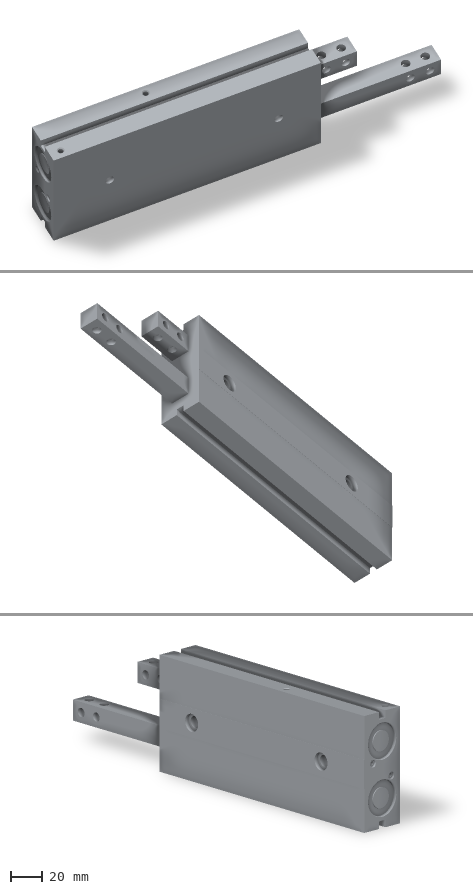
import cadquery as cq

TOTAL_LENGTH = 280.0

BODY_LENGTH = 190.0
BODY_HEIGHT = 78.0
TOTAL_WIDTH = 32.0
STRIP_RISE = 0.15
STRIP_HEIGHT = 19.5
BODY_WIDTH = TOTAL_WIDTH - STRIP_RISE
LEFT_X = -TOTAL_WIDTH / 2
SLOT_WIDTH = 6.0
SLOT_DEPTH = 5.0

AXIS_Z = 19.0

PLUG_DIAMETER = 24.0
PLUG_THICKNESS = 7.0
PLUG_SETBACK = 2.0
PLUG_BOSS_DIAMETER = 14.0
PLUG_BOSS_HEIGHT = 0.8
SEAT_MOUTH_DIAMETER = 25.0

ROD_SIDE = 14.0
LONG_REACH = TOTAL_LENGTH - BODY_LENGTH
SHORT_REACH = 30.0
ROD_LENGTH = LONG_REACH + SHORT_REACH
ROD_HOLE_DIAMETER = 6.2
ROD_HOLE_INSET = 7.8
ROD_HOLE_PITCH = 14.0

ROD_PLACES = [(AXIS_Z, SHORT_REACH), (-AXIS_Z, LONG_REACH)]

MOUNT_DIAMETER = 6.2
MOUNT_STEP_DIAMETER = 7.8
MOUNT_STEP_DEPTH = 11.2
MOUNT_BORE_DIAMETER = 12.0
MOUNT_BORE_DEPTH = 2.8
MOUNT_FIRST_Y = 40.0
MOUNT_PITCH = 120.0

PORT_DIAMETER = 3.5
PORT_MOUTH_DIAMETER = 5.0
PORT_DEPTH = 5.5
PORT_X = 10.0
PORT_PLACES = [(-PORT_X, 78.0), (PORT_X, 7.8)]

SCREW_MOUTH_DIAMETER = 5.0
SCREW_STEP_DIAMETER = 4.2
SCREW_STEP_DEPTH = 1.0
SCREW_HOLE_DIAMETER = 2.6
SCREW_HOLE_DEPTH = 11.2
SCREW_X = 8.0
SCREW_Z = 5.5
SCREW_PLACES = [(-SCREW_X, SCREW_Z), (SCREW_X, -SCREW_Z)]

ALONG_X = cq.Vector(1, 0, 0)
ALONG_Y = cq.Vector(0, 1, 0)
DOWN = cq.Vector(0, 0, -1)


def round_bar(start, direction, diameter, length):
    """Cylinder whose first end is centred on the start point."""
    return cq.Workplane(cq.Solid.makeCylinder(diameter / 2, length, cq.Vector(*start), direction))


def mouth_chamfer(start, direction, mouth_diameter, hole_diameter):
    """45 degree cone that opens the mouth of a hole."""
    depth = (mouth_diameter - hole_diameter) / 2
    return cq.Workplane(cq.Solid.makeCone(
        mouth_diameter / 2, hole_diameter / 2, depth, cq.Vector(*start), direction))


def square_rod_blank(z, reach):
    """Plain square rod on the axis at height z, reaching out of the housing by the given length."""
    middle_y = BODY_LENGTH + reach - ROD_LENGTH / 2
    return cq.Workplane().box(ROD_SIDE, ROD_LENGTH, ROD_SIDE).translate((0, middle_y, z))


def make_block():
    """Housing block with its raised side strip and its top and bottom slots."""
    middle_y = BODY_LENGTH / 2
    block = cq.Workplane().box(BODY_WIDTH, BODY_LENGTH, BODY_HEIGHT).translate((STRIP_RISE / 2, middle_y, 0))
    strip = cq.Workplane().box(TOTAL_WIDTH, BODY_LENGTH, STRIP_HEIGHT).translate((0, middle_y, 0))
    block = block.union(strip)
    slot = cq.Workplane().box(SLOT_WIDTH, BODY_LENGTH, 2 * SLOT_DEPTH)
    for face_z in (-BODY_HEIGHT / 2, BODY_HEIGHT / 2):
        block = block.cut(slot.translate((0, middle_y, face_z)))
    return block


def cut_cylinder_ends(block):
    """Cut the plug seats and the square sockets that hold the rods."""
    for z, reach in ROD_PLACES:
        mouth = (0, 0, z)
        block = block.cut(round_bar(mouth, ALONG_Y, PLUG_DIAMETER, PLUG_SETBACK + PLUG_THICKNESS))
        block = block.cut(mouth_chamfer(mouth, ALONG_Y, SEAT_MOUTH_DIAMETER, PLUG_DIAMETER))
        block = block.cut(square_rod_blank(z, reach))
    return block


def cut_mount_holes(block):
    for y in (MOUNT_FIRST_Y, MOUNT_FIRST_Y + MOUNT_PITCH):
        mouth = (LEFT_X, y, 0)
        block = block.cut(round_bar(mouth, ALONG_X, MOUNT_DIAMETER, TOTAL_WIDTH))
        block = block.cut(round_bar(mouth, ALONG_X, MOUNT_STEP_DIAMETER, MOUNT_STEP_DEPTH))
        block = block.cut(round_bar(mouth, ALONG_X, MOUNT_BORE_DIAMETER, MOUNT_BORE_DEPTH))
    return block


def cut_ports(block):
    for x, y in PORT_PLACES:
        mouth = (x, y, BODY_HEIGHT / 2)
        block = block.cut(round_bar(mouth, DOWN, PORT_DIAMETER, PORT_DEPTH))
        block = block.cut(mouth_chamfer(mouth, DOWN, PORT_MOUTH_DIAMETER, PORT_DIAMETER))
    return block


def cut_screw_holes(block):
    for x, z in SCREW_PLACES:
        mouth = (x, 0, z)
        block = block.cut(round_bar(mouth, ALONG_Y, SCREW_HOLE_DIAMETER, SCREW_HOLE_DEPTH))
        block = block.cut(round_bar(mouth, ALONG_Y, SCREW_STEP_DIAMETER, SCREW_STEP_DEPTH))
        block = block.cut(mouth_chamfer(mouth, ALONG_Y, SCREW_MOUTH_DIAMETER, SCREW_STEP_DIAMETER))
    return block


def make_housing():
    block = make_block()
    block = cut_cylinder_ends(block)
    block = cut_mount_holes(block)
    block = cut_ports(block)
    return cut_screw_holes(block)


def make_rod(z, reach):
    """Square rod with two pairs of crossing holes near its tip."""
    rod = square_rod_blank(z, reach)
    first_y = BODY_LENGTH + reach - ROD_HOLE_INSET
    for y in (first_y, first_y - ROD_HOLE_PITCH):
        rod = rod.cut(round_bar((-ROD_SIDE / 2, y, z), ALONG_X, ROD_HOLE_DIAMETER, ROD_SIDE))
        rod = rod.cut(round_bar((0, y, z + ROD_SIDE / 2), DOWN, ROD_HOLE_DIAMETER, ROD_SIDE))
    return rod


def make_plug(z):
    """Round end plug with a low boss on its outer face."""
    disc = round_bar((0, PLUG_SETBACK, z), ALONG_Y, PLUG_DIAMETER, PLUG_THICKNESS)
    boss = round_bar((0, PLUG_SETBACK, z), -ALONG_Y, PLUG_BOSS_DIAMETER, PLUG_BOSS_HEIGHT)
    return disc.union(boss)


housing = make_housing()
rods = [make_rod(z, reach) for z, reach in ROD_PLACES]
plugs = [make_plug(z) for z in (AXIS_Z, -AXIS_Z)]

result = cq.Compound.makeCompound([body.val() for body in [housing, *rods, *plugs]])